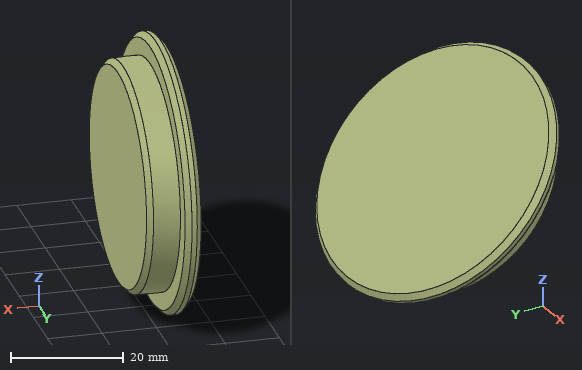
import cadquery as cq

flange_diameter = 51.0
flange_thickness = 3.0
spigot_diameter = 42.5
total_length = 9.0
edge_chamfer = 1.0


def disc(diameter, length):
    """Solid disc starting at X = 0 and extending along +X."""
    return cq.Workplane("YZ").circle(diameter / 2).extrude(length)


flange = disc(flange_diameter, flange_thickness).edges().chamfer(edge_chamfer)

spigot = disc(spigot_diameter, total_length).faces(">X").edges().chamfer(edge_chamfer)

result = flange.union(spigot)